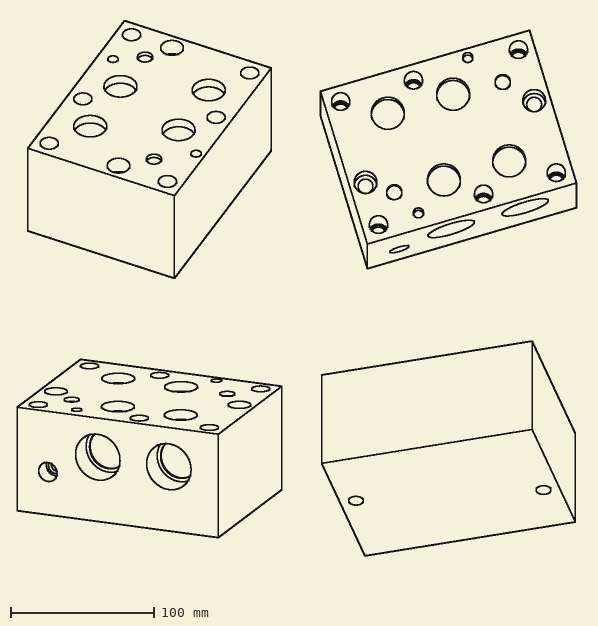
import cadquery as cq
import math

WIDTH = 114.3
LENGTH = 152.4
HEIGHT = 76.2
TOP = HEIGHT / 2
PORT_FACE = -WIDTH / 2
DRILL_POINT_ANGLE = 118.0

MOUNT_X = 46.0
MOUNT_CORNER_Y = 64.8
MOUNT_MIDDLE_Y = 11.7
MOUNT_BORES = [(12.6, 25.5), (10.7, 30.5)]
MOUNT_CENTRES = [
    (-MOUNT_X, MOUNT_CORNER_Y),
    (MOUNT_X, MOUNT_CORNER_Y),
    (MOUNT_X, MOUNT_MIDDLE_Y),
    (-MOUNT_X, -MOUNT_MIDDLE_Y),
    (-MOUNT_X, -MOUNT_CORNER_Y),
    (MOUNT_X, -MOUNT_CORNER_Y),
]

FLOW_X = 28.5
FLOW_NEAR_Y = 11.9
FLOW_FAR_Y = 35.7
FLOW_BORES = [(23.0, 7.0)]
FLOW_CENTRES = [
    (FLOW_X, FLOW_FAR_Y),
    (-FLOW_X, FLOW_NEAR_Y),
    (FLOW_X, -FLOW_NEAR_Y),
    (-FLOW_X, -FLOW_FAR_Y),
]

PILOT_X = 27.0
PILOT_Y = 47.5
PILOT_BORES = [(10.7, 3.0)]
PILOT_CENTRES = [(-PILOT_X, PILOT_Y), (PILOT_X, -PILOT_Y)]

PIN_BORES = [(7.2, 7.6)]
PIN_CENTRES = [(-MOUNT_X, FLOW_FAR_Y), (50.7, -29.3)]

BOLT_DIAMETER = 10.4
BOLT_HEAD_DIAMETER = 15.8
BOLT_HEAD_DEPTH = 12.2
BOLT_CENTRES = [(-14.5, MOUNT_CORNER_Y), (8.0, -MOUNT_CORNER_Y)]

MAIN_PORT_Z = 9.3
MAIN_PORT_BORES = [(33.7, 19.0), (28.7, 20.3)]
MAIN_PORT_CENTRES = [(15.1, MAIN_PORT_Z), (-38.7, MAIN_PORT_Z)]
PILOT_PORT_BORES = [(13.9, 13.7), (10.7, 18.3)]
PILOT_PORT_CENTRES = [(52.9, -6.5)]


def drill_tool(bores):
    """Stepped drill along -Z from the origin: (diameter, depth) bores, widest first, ending in a cone."""
    outline = cq.Workplane("XZ").moveTo(0, 0)
    for diameter, depth in bores:
        outline = outline.hLineTo(diameter / 2).vLineTo(-depth)
    tip_diameter, tip_start = bores[-1]
    tip_length = tip_diameter / 2 / math.tan(math.radians(DRILL_POINT_ANGLE / 2))
    outline = outline.lineTo(0, -tip_start - tip_length).close()
    return outline.revolve(360, (0, 0, 0), (0, 1, 0))


def drill_top(body, centres, bores):
    """Drill straight down from the top face at each (X, Y) centre."""
    tool = drill_tool(bores)
    for x, y in centres:
        body = body.cut(tool.translate((x, y, TOP)))
    return body


def drill_port_face(body, centres, bores):
    """Drill toward +X from the -X face at each (Y, Z) centre."""
    tool = drill_tool(bores).rotate((0, 0, 0), (0, 1, 0), -90)
    for y, z in centres:
        body = body.cut(tool.translate((PORT_FACE, y, z)))
    return body


result = cq.Workplane("XY").box(WIDTH, LENGTH, HEIGHT)

result = drill_top(result, MOUNT_CENTRES, MOUNT_BORES)
result = drill_top(result, FLOW_CENTRES, FLOW_BORES)
result = drill_top(result, PILOT_CENTRES, PILOT_BORES)
result = drill_top(result, PIN_CENTRES, PIN_BORES)

result = (
    result.faces(">Z")
    .workplane(origin=(0, 0, TOP))
    .pushPoints(BOLT_CENTRES)
    .cboreHole(BOLT_DIAMETER, BOLT_HEAD_DIAMETER, BOLT_HEAD_DEPTH)
)

result = drill_port_face(result, MAIN_PORT_CENTRES, MAIN_PORT_BORES)
result = drill_port_face(result, PILOT_PORT_CENTRES, PILOT_PORT_BORES)